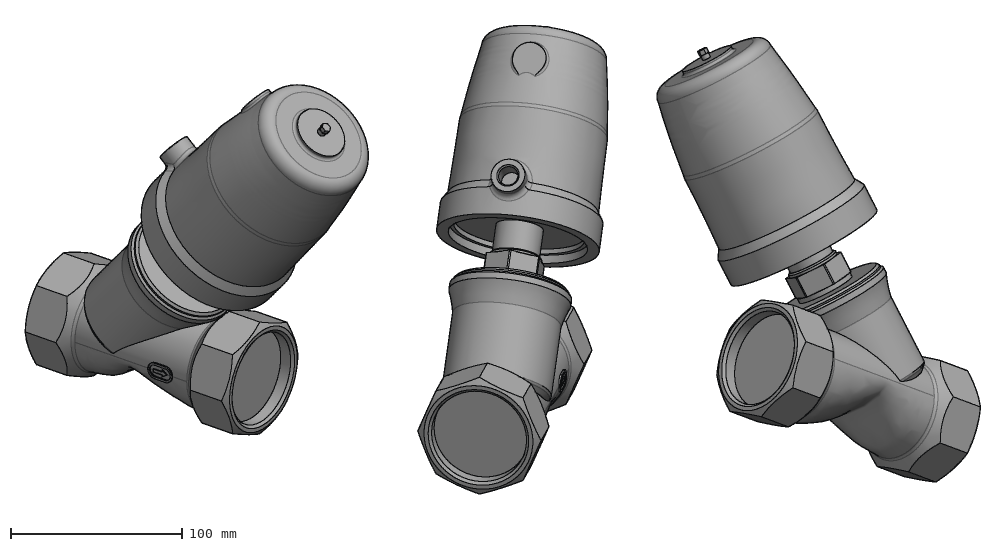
import cadquery as cq
import math

STEM_LEAN = 40.0
STEM_FOOT_X = -30.1

BODY_HALF_LENGTH = 74.9
END_HEX_FLATS = 68.0
END_SIDES = 8
END_CORNER_R = END_HEX_FLATS / 2 / math.cos(math.pi / END_SIDES)
END_FACE_R = 32.5
END_CHAMFER_LENGTH = 2.7
END_LENGTH = 25.3
TUBE_R = 29.6
TUBE_FILLET = 3.0
INNER_CONE_END_R = TUBE_R + TUBE_FILLET * (1 - math.sqrt(0.5))
INNER_CONE_LENGTH = END_CORNER_R - INNER_CONE_END_R
PIPE_END_LENGTH = END_LENGTH + INNER_CONE_LENGTH + TUBE_FILLET * math.sqrt(0.5)
PORT_D = 56.66
PORT_DEPTH = 9.0
PORT_MOUTH_D = 60.0
TUBE_HALF_LENGTH = BODY_HALF_LENGTH - PIPE_END_LENGTH
BELLY_DEPTHS = [
    (-TUBE_HALF_LENGTH, TUBE_R), (-30.0, 27.9), (-20.0, 23.2), (-9.0, 15.5), (-1.9, 12.5),
    (6.0, 17.0), (17.0, 23.2), (30.0, 27.9), (TUBE_HALF_LENGTH, TUBE_R),
]

BRANCH_START = 8.2
BRANCH_ROUND_START = 11.0
BRANCH_ROUND_END = 12.5
FLARE_START = 55.3
FLARE_END = 68.8
COLLAR_END = 72.6
BODY_TOP = 73.8
BRANCH_R = 32.0
BRANCH_FOOT_R = 28.6
BRANCH_ROUND_R = 31.2
FLARE_MIDDLE = (33.5, 61.8)
COLLAR_D = 72.0
SEAT_D = 69.2
SEAT_DEPTH = 4.0

BADGE_X = 21.9
BADGE_LENGTH = 17.8
BADGE_WIDTH = 10.2
BADGE_RIM = 1.3
BADGE_HEIGHT = 0.7
BADGE_ROOT = 3.0
ARROW_LENGTH = 10.0
ARROW_SHAFT_WIDTH = 2.0
ARROW_HEAD_LENGTH = 3.5
ARROW_HEAD_WIDTH = 4.5

BONNET_D = 69.0
BONNET_TOP = 76.3
BONNET_CHAMFER = 1.5
NUT_SIDES = 6
NUT_FLATS = 32.0
NUT_CORNER_D = 36.4
NUT_BASE_D = 34.5
NUT_START = 79.3
NUT_END = 92.3
NUT_COLLAR_END = 94.8
NUT_COLLAR_D = 31.0
NUT_COLLAR_CHAMFER = 1.0
NECK_D = 28.0

BASE_START = 104.3
BASE_D = 96.0
RECESS_D = 82.1
RECESS_DEPTH = 5.0
INNER_RECESS_D = 77.0
INNER_RECESS_DEPTH = 8.0
BASE_END = 121.0
BARREL_START = 126.5
BARREL_START_R = 44.6
BARREL_END = 172.5
BARREL_END_R = 43.7
HOOD_START = 174.9
HOOD_START_R = 43.3
HOOD_MIDDLE_R = 40.6
HOOD_END = 219.5
HOOD_END_R = 36.9
CROWN_MIDDLE = (34.7, 224.6)
CROWN_TOP = 226.5
CROWN_FLAT_R = 29.0
LID_D = 32.0
LID_TOP = 229.5
LID_FILLET = 1.8
PIN_D = 5.0
PIN_HEAD_D = 6.0
PIN_HEAD_SIDES = 6
PIN_HEAD_START = 232.5
PIN_TOP = 235.5
SIDE_DISC_D = 20.0
AIR_PORT_HEIGHT = 126.1
AIR_PORT_REACH = 55.0
AIR_PORT_ROOT = 25.0
AIR_PORT_HOLE_D = 11.45
AIR_PORT_HOLE_DEPTH = 12.0
AIR_PORT_CHAMFER = 0.9
AIR_PORT_FILLET = 3.4
PAD_HEIGHT = 203.0
PAD_REACH = 41.0
PAD_ROOT = 12.0
PAD_FILLET = 1.7
FACE_CLEARANCE = 0.2


def on_stem_axis(part):
    """Tilt a part built along Z onto the stem axis."""
    return part.rotate((0, 0, 0), (0, 1, 0), STEM_LEAN).translate((STEM_FOOT_X, 0, 0))


def disc(diameter, start, end):
    """Cylinder along Z between two heights."""
    return cq.Workplane("XY").workplane(offset=start).circle(diameter / 2).extrude(end - start)


def side_disc(diameter, height, reach, depth):
    """Cylinder along X that starts at -reach and runs inwards."""
    return cq.Workplane("YZ", origin=(-reach, 0, height)).circle(diameter / 2).extrude(depth)


def pipe_end():
    """Octagonal pipe end at -X, with both ends turned to cones and a blind port."""
    octagon = (
        cq.Workplane("YZ", origin=(-BODY_HALF_LENGTH, 0, 0))
        .polygon(END_SIDES, 2 * END_CORNER_R)
        .extrude(PIPE_END_LENGTH)
    )
    turned = (
        cq.Workplane("XY", origin=(-BODY_HALF_LENGTH, 0, 0))
        .lineTo(0, END_FACE_R)
        .lineTo(END_CHAMFER_LENGTH, END_CORNER_R)
        .lineTo(END_LENGTH, END_CORNER_R)
        .lineTo(END_LENGTH + INNER_CONE_LENGTH, INNER_CONE_END_R)
        .radiusArc((PIPE_END_LENGTH, TUBE_R), -TUBE_FILLET)
        .lineTo(PIPE_END_LENGTH, 0)
        .close()
        .revolve(360, (0, 0, 0), (1, 0, 0))
    )
    mouth_chamfer = (PORT_MOUTH_D - PORT_D) / 2
    port = (
        cq.Workplane("XY", origin=(-BODY_HALF_LENGTH, 0, 0))
        .lineTo(0, PORT_MOUTH_D / 2)
        .lineTo(mouth_chamfer, PORT_D / 2)
        .lineTo(PORT_DEPTH, PORT_D / 2)
        .lineTo(PORT_DEPTH, 0)
        .close()
        .revolve(360, (0, 0, 0), (1, 0, 0))
    )
    return octagon.intersect(turned).cut(port)


def body_tube():
    """Tube between the pipe ends: round above the flow axis, drawn in to a waist below it."""
    half_length = TUBE_HALF_LENGTH
    upper = (
        cq.Workplane("YZ", origin=(-half_length, 0, 0))
        .moveTo(-TUBE_R, 0)
        .threePointArc((0, TUBE_R), (TUBE_R, 0))
        .close()
        .extrude(2 * half_length)
    )
    lower = cq.Workplane("YZ", origin=(-half_length, 0, 0))
    previous_x = -half_length
    for x, depth in BELLY_DEPTHS:
        lower = lower.workplane(offset=x - previous_x).ellipse(TUBE_R, depth)
        previous_x = x
    lower = lower.loft(combine=True)
    below_axis = cq.Workplane("XY").box(2 * half_length, 3 * TUBE_R, 2 * TUBE_R, (True, True, False))
    lower = lower.intersect(below_axis.translate((0, 0, -2 * TUBE_R)))
    return upper.union(lower)


def branch():
    """Inclined branch with a tapered foot, a flared collar and a seat for the bonnet."""
    profile = (
        cq.Workplane("XZ")
        .moveTo(0, BRANCH_START)
        .lineTo(BRANCH_FOOT_R, BRANCH_START)
        .lineTo(BRANCH_ROUND_R, BRANCH_ROUND_START)
        .tangentArcPoint((BRANCH_R, BRANCH_ROUND_END), relative=False)
        .lineTo(BRANCH_R, FLARE_START)
        .threePointArc(FLARE_MIDDLE, (COLLAR_D / 2, FLARE_END))
        .lineTo(COLLAR_D / 2, COLLAR_END)
        .lineTo(SEAT_D / 2, BODY_TOP)
        .lineTo(SEAT_D / 2, BODY_TOP - SEAT_DEPTH)
        .lineTo(0, BODY_TOP - SEAT_DEPTH)
        .close()
    )
    return on_stem_axis(profile.revolve(360, (0, 0, 0), (0, 1, 0)))


def badge():
    """Raised slot-shaped rim and the raised arrow inside it, which points along the flow."""
    face = cq.Workplane("XZ", origin=(BADGE_X, -TUBE_R - BADGE_HEIGHT, 0))
    depth = -(BADGE_HEIGHT + BADGE_ROOT)
    opening = face.slot2D(BADGE_LENGTH - 2 * BADGE_RIM, BADGE_WIDTH - 2 * BADGE_RIM).extrude(depth)
    rim = face.slot2D(BADGE_LENGTH, BADGE_WIDTH).extrude(depth).cut(opening)
    tip = ARROW_LENGTH / 2
    neck = tip - ARROW_HEAD_LENGTH
    arrow = (
        face.moveTo(-tip, -ARROW_SHAFT_WIDTH / 2)
        .lineTo(neck, -ARROW_SHAFT_WIDTH / 2)
        .lineTo(neck, -ARROW_HEAD_WIDTH / 2)
        .lineTo(tip, 0)
        .lineTo(neck, ARROW_HEAD_WIDTH / 2)
        .lineTo(neck, ARROW_SHAFT_WIDTH / 2)
        .lineTo(-tip, ARROW_SHAFT_WIDTH / 2)
        .close()
        .extrude(depth)
    )
    return rim, arrow


def make_body():
    inlet = pipe_end()
    outlet = inlet.mirror("YZ")
    shell = body_tube().union(branch())
    shell = shell.union(inlet).union(outlet)
    for mark in badge():
        shell = shell.union(mark)
    return shell


def make_bonnet():
    """Plate in the body seat, hexagon nut, collar and the neck that enters the actuator."""
    plate = disc(BONNET_D, BODY_TOP - SEAT_DEPTH, BONNET_TOP).faces(">Z").edges().chamfer(BONNET_CHAMFER)
    base = disc(NUT_BASE_D, BONNET_TOP, NUT_START)
    nut = (
        cq.Workplane("XY").workplane(offset=NUT_START)
        .polygon(NUT_SIDES, NUT_FLATS, circumscribed=True)
        .extrude(NUT_END - NUT_START)
        .rotate((0, 0, 0), (0, 0, 1), 180 / NUT_SIDES)
        .intersect(disc(NUT_CORNER_D, NUT_START, NUT_END))
    )
    collar = disc(NUT_COLLAR_D, NUT_END, NUT_COLLAR_END).faces(">Z").edges().chamfer(NUT_COLLAR_CHAMFER)
    neck = disc(NECK_D, NUT_COLLAR_END, BASE_START + INNER_RECESS_DEPTH)
    return on_stem_axis(plate.union(base).union(nut).union(collar).union(neck))


def actuator_shell():
    """Turned shell: stepped recess below, wide base, barrel, tapering hood and rounded crown."""
    return (
        cq.Workplane("XZ")
        .moveTo(0, BASE_START + INNER_RECESS_DEPTH)
        .lineTo(INNER_RECESS_D / 2, BASE_START + INNER_RECESS_DEPTH)
        .lineTo(INNER_RECESS_D / 2, BASE_START + RECESS_DEPTH)
        .lineTo(RECESS_D / 2, BASE_START + RECESS_DEPTH)
        .lineTo(RECESS_D / 2, BASE_START)
        .lineTo(BASE_D / 2, BASE_START)
        .lineTo(BASE_D / 2, BASE_END)
        .lineTo(BARREL_START_R, BARREL_START)
        .lineTo(BARREL_END_R, BARREL_END)
        .lineTo(HOOD_START_R, HOOD_START)
        .threePointArc((HOOD_MIDDLE_R, (HOOD_START + HOOD_END) / 2), (HOOD_END_R, HOOD_END))
        .threePointArc(CROWN_MIDDLE, (CROWN_FLAT_R, CROWN_TOP))
        .lineTo(0, CROWN_TOP)
        .close()
        .revolve(360, (0, 0, 0), (0, 1, 0))
    )


def fillet_root(shell, height, reach, radius):
    """Round the edges where a disc on the -X side meets the actuator shell."""
    d = SIDE_DISC_D
    near_corner = (-reach + FACE_CLEARANCE, -d, height - d)
    far_corner = (-reach + d, d, height + d)
    root = cq.selectors.BoxSelector(near_corner, far_corner, boundingbox=False)
    edges = [edge for edge in shell.edges(root).vals() if edge.geomType() == "BSPLINE"]
    return shell.newObject(edges).fillet(radius)


def lid():
    """Disc on the crown with a concave fillet around its foot."""
    return (
        cq.Workplane("XZ")
        .moveTo(0, CROWN_TOP)
        .lineTo(LID_D / 2 + LID_FILLET, CROWN_TOP)
        .radiusArc((LID_D / 2, CROWN_TOP + LID_FILLET), LID_FILLET)
        .lineTo(LID_D / 2, LID_TOP)
        .lineTo(0, LID_TOP)
        .close()
        .revolve(360, (0, 0, 0), (0, 1, 0))
    )


def make_actuator():
    shell = actuator_shell()
    shell = shell.union(side_disc(SIDE_DISC_D, AIR_PORT_HEIGHT, AIR_PORT_REACH, AIR_PORT_ROOT))
    shell = fillet_root(shell, AIR_PORT_HEIGHT, AIR_PORT_REACH, AIR_PORT_FILLET)
    shell = shell.union(side_disc(SIDE_DISC_D, PAD_HEIGHT, PAD_REACH, PAD_ROOT))
    shell = fillet_root(shell, PAD_HEIGHT, PAD_REACH, PAD_FILLET)
    shell = shell.cut(side_disc(AIR_PORT_HOLE_D, AIR_PORT_HEIGHT, AIR_PORT_REACH, AIR_PORT_HOLE_DEPTH))
    hole_rim = cq.selectors.RadiusNthSelector(0)
    shell = shell.faces("<X").edges("%CIRCLE").edges(hole_rim).chamfer(AIR_PORT_CHAMFER)
    pin = disc(PIN_D, LID_TOP, PIN_HEAD_START)
    pin_head = (
        cq.Workplane("XY").workplane(offset=PIN_HEAD_START)
        .polygon(PIN_HEAD_SIDES, PIN_HEAD_D)
        .extrude(PIN_TOP - PIN_HEAD_START)
    )
    return on_stem_axis(shell.union(lid()).union(pin).union(pin_head))


body = make_body()
bonnet = make_bonnet()
actuator = make_actuator()
result = cq.Compound.makeCompound([body.val(), bonnet.val(), actuator.val()])